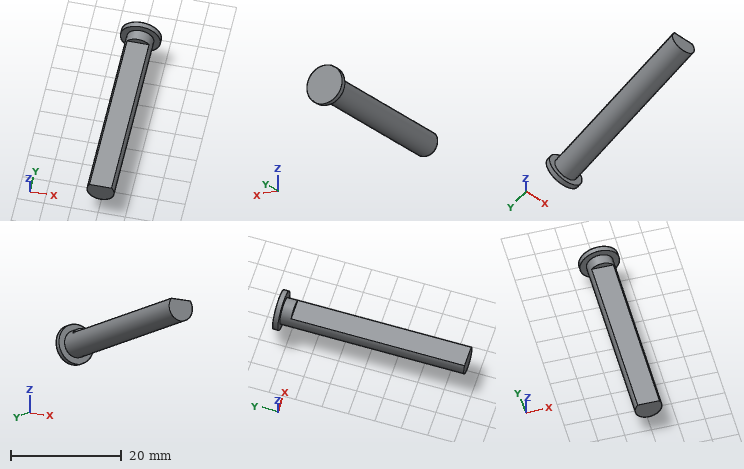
import cadquery as cq

total_length = 35.8
head_diameter = 7.4
head_thickness = 1.0
shaft_diameter = 5.0
flat_height = 1.45
round_neck_length = 2.0

shaft_length = total_length - head_thickness
flat_length = shaft_length - round_neck_length
shaft_radius = shaft_diameter / 2


def cylinder_along_y(diameter, start_y, length):
    """Cylinder on the Y axis, running from start_y toward +Y."""
    plane = cq.Workplane("XZ", origin=(0, start_y, 0))
    return plane.circle(diameter / 2).extrude(-length)


shaft = cylinder_along_y(shaft_diameter, 0, shaft_length)
head = cylinder_along_y(head_diameter, shaft_length, head_thickness)

flat_cut = cq.Workplane("XY").box(
    shaft_diameter, flat_length, shaft_radius, centered=(True, False, False)
).translate((0, 0, flat_height))

result = shaft.union(head).cut(flat_cut)